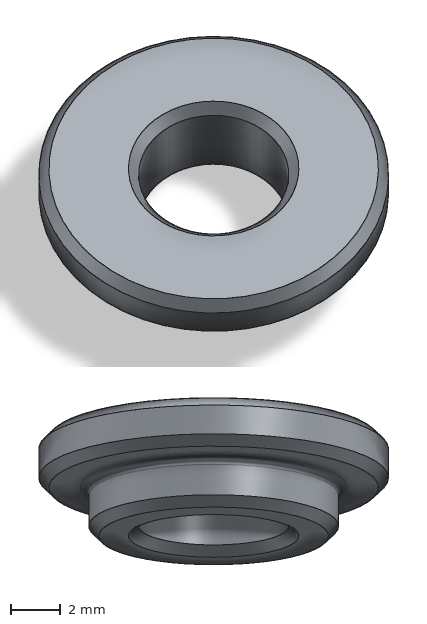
import cadquery as cq

flange_diameter = 14.0
hub_diameter = 10.0
bore_diameter = 6.0
total_height = 4.0
flange_thickness = total_height / 2
edge_chamfer = 0.4
neck_fillet = 0.34

hub_height = total_height - flange_thickness

flange = (
    cq.Workplane("XY")
    .workplane(offset=hub_height)
    .circle(flange_diameter / 2)
    .extrude(flange_thickness)
    .edges()
    .chamfer(edge_chamfer)
)

hub = (
    cq.Workplane("XY")
    .circle(hub_diameter / 2)
    .extrude(hub_height)
    .faces("<Z")
    .edges()
    .chamfer(edge_chamfer)
)

neck_corner = cq.selectors.RadiusNthSelector(0)
body = flange.union(hub)
flange_underside = cq.selectors.NearestToPointSelector((0, 0, hub_height))
body = body.faces(flange_underside).edges(neck_corner).fillet(neck_fillet)

bore = cq.Workplane("XY").circle(bore_diameter / 2).extrude(total_height)
mouth_edges = cq.selectors.RadiusNthSelector(0)
result = body.cut(bore).faces("<Z or >Z").edges(mouth_edges).chamfer(edge_chamfer)